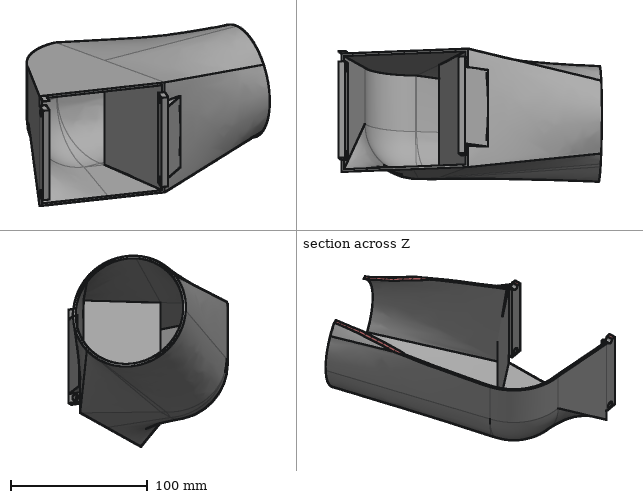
import cadquery as cq
import math

wall = 2.0
height = 88.0
mouth_width = 94.8
mouth_floor_end = 40.9
bend_radius = 42.0
bend_x, bend_y = -49.5, 47.0
bend_floor = 2.5
bend_angle = 75.0
round_height = bend_floor + bend_radius
outlet_radius = 42.4
outlet_x, outlet_y, outlet_z = -83.2, 174.8, 43.8
outlet_angles = [144, 97, 38, -41, -54, -58, -176.5]

flange_length = 9.7
flange_thickness = 5.0
flange_bottom, flange_top = 9.0, 80.5
hole_diameter = 4.5
hole_x = 4.0
hole_heights = (12.5, 76.2)
gusset_bottom, gusset_top = 15.8, 72.8
gusset_tip = (-6.3, 108.3)
gusset_root_x = -5.5

tab_thickness = 0.2

turn = math.radians(90 - bend_angle)
radial = (-math.cos(turn), -math.sin(turn))
along = (radial[1], -radial[0])
arc_end = (bend_x + bend_radius * radial[0], bend_y + bend_radius * radial[1])
joint_slope = (mouth_width - arc_end[1]) / -arc_end[0]
joint_angle = math.degrees(math.atan(joint_slope))
pivot_y = mouth_width + joint_slope * bend_x


def onto_joint(point):
    """Slide a plan point along the tube direction until it meets the joint plane."""
    x, y = point
    travel = (mouth_width + joint_slope * x - y) / (along[1] - joint_slope * along[0])
    return (x + travel * along[0], y + travel * along[1])


def closed_wire(corners, last_edge):
    """Straight edges through the corners, closed by a curved last edge."""
    points = [cq.Vector(*corner) for corner in corners]
    edges = [cq.Edge.makeLine(a, b) for a, b in zip(points, points[1:])]
    return cq.Wire.assembleEdges(edges + [last_edge])


def make_inlet(inset):
    """Transition whose round lower corner opens out into the floor edge of the mouth."""
    roof = height - inset
    floor = bend_floor + inset
    radius = bend_radius - inset
    diagonal = radius * math.sqrt(0.5)
    front = bend_y - radius
    back = mouth_width - inset
    round_edge = cq.Edge.makeThreePointArc(
        cq.Vector(bend_x, bend_y, floor),
        cq.Vector(bend_x, bend_y - diagonal, round_height - diagonal),
        cq.Vector(bend_x, front, round_height),
    )
    start = closed_wire(
        [
            (bend_x, front, round_height),
            (bend_x, front, roof),
            (bend_x, pivot_y, roof),
            (bend_x, pivot_y, floor),
            (bend_x, bend_y, floor),
        ],
        round_edge,
    )
    mouth_corners = [
        (0, inset, inset),
        (0, inset, roof),
        (0, back, roof),
        (0, back, inset),
        (0, back - mouth_floor_end, inset),
    ]
    floor_edge = cq.Edge.makeLine(cq.Vector(*mouth_corners[-1]), cq.Vector(*mouth_corners[0]))
    mouth = closed_wire(mouth_corners, floor_edge)
    return cq.Workplane(obj=cq.Solid.makeLoft([start, mouth], True))


def make_bend(inset):
    """Bend with a ball-shaped lower corner, carried straight on to the joint plane."""
    radius = bend_radius - inset
    floor = bend_floor + inset
    roof = height - inset
    diagonal = radius * math.sqrt(0.5)

    def profile(plane):
        return (
            cq.Workplane(plane)
            .moveTo(0, floor)
            .threePointArc((diagonal, round_height - diagonal), (radius, round_height))
            .lineTo(radius, roof)
            .lineTo(0, roof)
            .close()
        )

    start_plane = cq.Plane((bend_x, bend_y, 0), xDir=(0, -1, 0), normal=(-1, 0, 0))
    end_plane = cq.Plane((bend_x, bend_y, 0), xDir=(*radial, 0), normal=(*along, 0))
    turned = profile(start_plane).revolve(bend_angle, (0, 0), (0, -1))
    past_joint = bend_radius
    straight = profile(end_plane).extrude(past_joint)
    centre = (bend_x, bend_y)
    tip = onto_joint(centre)
    trim = cq.Workplane().polyline([centre, tip, arc_end]).close().extrude(height)
    wedge = (
        cq.Workplane()
        .workplane(offset=floor)
        .polyline([centre, (bend_x, pivot_y), tip])
        .close()
        .extrude(roof - floor)
    )
    return turned.union(straight.intersect(trim)).union(wedge)


def make_tube(inset):
    """Tube from the oblique joint to the round outlet."""
    radius = bend_radius - inset
    floor = bend_floor + inset
    roof = height - inset
    outer = onto_joint((bend_x + radius * radial[0], bend_y + radius * radial[1]))
    tip = onto_joint((bend_x, bend_y))
    back = (-inset, mouth_width - joint_slope * inset)
    joint_direction = (math.cos(math.radians(joint_angle)), math.sin(math.radians(joint_angle)), 0)
    joint_normal = (joint_direction[1], -joint_direction[0], 0)
    round_width = math.dist(outer, tip)
    joint_corners = [
        (*outer, round_height),
        (*outer, roof),
        (bend_x, pivot_y, roof),
        (*back, roof),
        (*back, inset),
        (bend_x, pivot_y, floor),
        (*tip, floor),
    ]
    ellipse_plane = cq.Plane((*tip, round_height), xDir=joint_direction, normal=joint_normal)
    quarter = cq.Workplane(ellipse_plane).ellipseArc(round_width, radius, 180, 270, startAtCurrent=False)
    joint = closed_wire(joint_corners, quarter.val())

    def outlet_point(angle):
        across = (outlet_radius - inset) * math.cos(math.radians(angle))
        rise = (outlet_radius - inset) * math.sin(math.radians(angle))
        return cq.Vector(outlet_x - across * radial[0], outlet_y - across * radial[1], outlet_z + rise)

    stops = [outlet_angles[-1] + 360] + outlet_angles
    outlet = cq.Wire.assembleEdges([
        cq.Edge.makeThreePointArc(outlet_point(a), outlet_point((a + b) / 2), outlet_point(b))
        for a, b in zip(stops, stops[1:])
    ])
    return cq.Workplane(obj=cq.Solid.makeLoft([joint, outlet], True))


def make_duct_form(inset):
    return make_bend(inset).union(make_inlet(inset)).union(make_tube(inset))


def make_flange(front_y):
    flange = cq.Workplane().box(flange_length, flange_thickness, flange_top - flange_bottom, centered=False)
    flange = flange.translate((0, front_y, flange_bottom))
    for hole_z in hole_heights:
        hole_plane = cq.Plane((hole_x, front_y, hole_z), xDir=(1, 0, 0), normal=(0, 1, 0))
        flange = flange.cut(cq.Workplane(hole_plane).circle(hole_diameter / 2).extrude(flange_thickness))
    return flange


def make_gusset():
    """Brace from the back flange to the side of the tube."""
    outline = [(gusset_root_x, mouth_width), (flange_length, mouth_width), gusset_tip]
    gusset = cq.Workplane().workplane(offset=gusset_bottom).polyline(outline).close()
    return gusset.extrude(gusset_top - gusset_bottom)


def make_housing():
    housing = make_duct_form(0).union(make_gusset()).cut(make_duct_form(wall))
    for front_y in (0, mouth_width - flange_thickness):
        housing = housing.union(make_flange(front_y))
    return housing


def make_tab():
    tab = cq.Workplane().box(flange_length, flange_thickness, tab_thickness, centered=False)
    return tab.translate((0, 0, height - tab_thickness))


housing = make_housing()
tab = make_tab()
result = cq.Compound.makeCompound([*housing.solids().vals(), tab.val()])